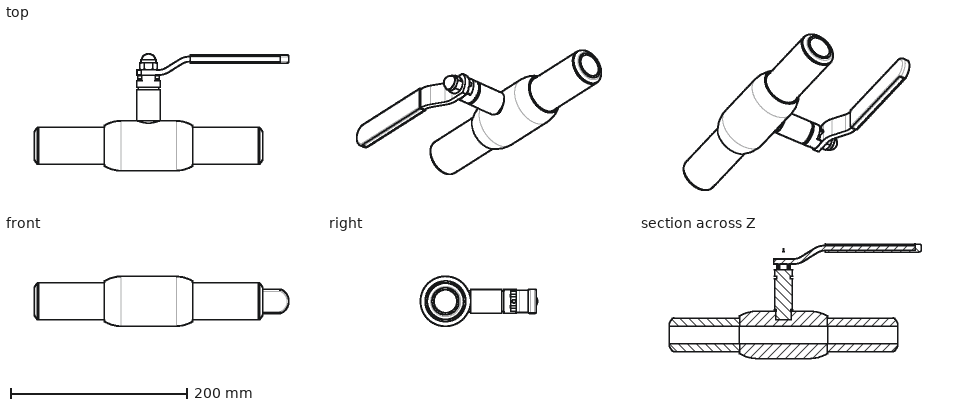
import cadquery as cq
import math


overall_length = 289.3
overall_width = 133.0

bore_radius = 13.0
shell_diameter = 57.0
shell_radius = shell_diameter / 2
shell_end_radius = 23.0
shell_half_length = 50.0
shell_straight_half = 31.2
pipe_radius = 21.0
pipe_end_x = 130.0
bevel_start_radius = 20.5
bevel_start_setback = 3.5
rounding_setback = 5.2
bevel_end_radius = 17.0
bevel_end_setback = 1.0
end_face_radius = 15.3

neck_radius = 13.5
spigot_radius = 12.1
spigot_bottom_y = 17.5
groove_radius = 12.0
groove_bottom_y = 64.0
groove_top_y = 66.2
ledge_y = 74.0
neck_top_y = 80.0
tab_inner_radius = 9.5
tab_half_angle = 35.0

stem_radius = 5.2
stem_top_y = 97.0
pin_radius = 2.0
pin_half_length = 12.5
pin_y = 77.8

lever_thickness = 6.0
lever_half_width = 12.7
lever_end_x = -13.3
lever_shoulder_x = -8.0
lever_rise = 15.3
bend_angle = 32.0
bend_inner_radius = 17.5

grip_start_x = 47.2
grip_end_x = overall_length - pipe_end_x
grip_straight_end_x = 149.5
grip_half_width = 14.0
grip_thickness = 9.5
grip_edge_radius = 2.3

hex_corner_diameter = 20.0
hex_height = 7.8
hex_chamfer_height = 1.0
collar_radius = 8.7
collar_height = 3.5
dome_radius = 8.0
nut_top_y = overall_width - shell_radius


def cylinder_y(radius, bottom, top):
    """Cylinder around the stem axis between two heights."""
    return cq.Workplane("XZ", origin=(0, bottom, 0)).circle(radius).extrude(bottom - top)


def make_shell():
    """Barrel with rounded shoulders, bored through, with a recess for the neck spigot."""
    sagitta = shell_radius - shell_end_radius
    run = shell_half_length - shell_straight_half
    shoulder_radius = (run**2 + sagitta**2) / (2 * sagitta)
    mid_x = shell_straight_half + run / 2
    mid_r = shell_radius - shoulder_radius + math.sqrt(shoulder_radius**2 - (run / 2) ** 2)
    barrel = (
        cq.Workplane("XY")
        .moveTo(-shell_half_length, bore_radius)
        .lineTo(-shell_half_length, shell_end_radius)
        .threePointArc((-mid_x, mid_r), (-shell_straight_half, shell_radius))
        .lineTo(shell_straight_half, shell_radius)
        .threePointArc((mid_x, mid_r), (shell_half_length, shell_end_radius))
        .lineTo(shell_half_length, bore_radius)
        .close()
        .revolve(360, (0, 0, 0), (1, 0, 0))
    )
    return barrel.cut(cylinder_y(spigot_radius, spigot_bottom_y, shell_radius))


def make_pipe(side):
    """Pipe stub butting on a shell end; side is -1 or +1 along X."""
    outline = [
        (shell_half_length, bore_radius),
        (shell_half_length, pipe_radius),
        (pipe_end_x - rounding_setback, pipe_radius),
        (pipe_end_x - bevel_start_setback, bevel_start_radius),
        (pipe_end_x - bevel_end_setback, bevel_end_radius),
        (pipe_end_x, end_face_radius),
        (pipe_end_x, bore_radius),
    ]
    points = [(side * x, r) for x, r in outline]
    return cq.Workplane("XY").polyline(points).close().revolve(360, (0, 0, 0), (1, 0, 0))


def make_neck():
    """Grooved sleeve with a spigot below; two side openings leave two stop tabs on top."""
    outline = [
        (stem_radius, spigot_bottom_y),
        (spigot_radius, spigot_bottom_y),
        (spigot_radius, shell_radius),
        (neck_radius, shell_radius),
        (neck_radius, groove_bottom_y),
        (groove_radius, groove_bottom_y),
        (groove_radius, groove_top_y),
        (neck_radius, groove_top_y),
        (neck_radius, neck_top_y),
        (tab_inner_radius, neck_top_y),
        (tab_inner_radius, ledge_y),
        (stem_radius, ledge_y),
    ]
    neck = cq.Workplane("XY").polyline(outline).close().revolve(360, (0, 0, 0), (0, 1, 0))

    reach = 2 * neck_radius
    half_spread = reach / math.tan(math.radians(tab_half_angle))
    for side in (-1, 1):
        wedge = (
            cq.Workplane("XZ", origin=(0, ledge_y, 0))
            .polyline([(0, 0), (side * reach, -half_spread), (side * reach, half_spread)])
            .close()
            .extrude(ledge_y - neck_top_y)
        )
        neck = neck.cut(wedge)
    return neck


def make_pin():
    """Cross pin through the stem, parallel to X."""
    plane = cq.Workplane("YZ", origin=(-pin_half_length, pin_y, 0))
    return plane.circle(pin_radius).extrude(2 * pin_half_length)


def make_stem(pin):
    """Plain round stem with a cross hole for the pin."""
    return cylinder_y(stem_radius, spigot_bottom_y, stem_top_y).cut(pin)


def make_lever():
    """Flat bar with a double bend, a rounded end and a hole for the stem."""
    angle = math.radians(bend_angle)
    middle_radius = bend_inner_radius + lever_thickness / 2
    bends_rise = 2 * middle_radius * (1 - math.cos(angle))
    slope_length = (lever_rise - bends_rise) / math.sin(angle)
    bends_run = 2 * middle_radius * math.sin(angle) + slope_length * math.cos(angle)
    low_y = neck_top_y + lever_thickness / 2
    bend_start_x = grip_start_x - bends_run

    first_bend = (
        bend_start_x + middle_radius * math.sin(angle),
        low_y + middle_radius * (1 - math.cos(angle)),
    )
    second_bend = (
        first_bend[0] + slope_length * math.cos(angle),
        first_bend[1] + slope_length * math.sin(angle),
    )
    centre_line = (
        cq.Workplane("XY")
        .moveTo(lever_end_x, low_y)
        .lineTo(bend_start_x, low_y)
        .tangentArcPoint(first_bend, relative=False)
        .lineTo(*second_bend)
        .tangentArcPoint((grip_start_x, low_y + lever_rise), relative=False)
        .lineTo(grip_straight_end_x, low_y + lever_rise)
    )
    section = cq.Workplane("YZ", origin=(lever_end_x, low_y, 0))
    bar = section.rect(lever_thickness, 2 * lever_half_width).sweep(centre_line)

    plan = (
        cq.Workplane("XZ")
        .moveTo(grip_straight_end_x, -lever_half_width)
        .lineTo(lever_shoulder_x, -lever_half_width)
        .threePointArc((lever_end_x, 0), (lever_shoulder_x, lever_half_width))
        .lineTo(grip_straight_end_x, lever_half_width)
        .close()
        .extrude(-nut_top_y)
    )
    return bar.intersect(plan).cut(cylinder_y(stem_radius, 0, nut_top_y))


def make_grip(lever):
    """Sleeve with rounded edges and an arched tip, slotted for the lever blade."""
    middle_y = neck_top_y + lever_thickness / 2 + lever_rise
    body = (
        cq.Workplane("XZ", origin=(0, middle_y - grip_thickness / 2, 0))
        .moveTo(grip_start_x, -grip_half_width)
        .lineTo(grip_straight_end_x, -grip_half_width)
        .threePointArc((grip_end_x, 0), (grip_straight_end_x, grip_half_width))
        .lineTo(grip_start_x, grip_half_width)
        .close()
        .extrude(-grip_thickness)
    )
    long_edges = body.faces("<Y or >Y").edges("not <X")
    return long_edges.fillet(grip_edge_radius).cut(lever)


def make_nut():
    """Hexagon cap nut with a collar, a dome and a blind hole for the stem."""
    base_y = neck_top_y + lever_thickness
    hex_top_y = base_y + hex_height
    collar_top_y = hex_top_y + collar_height
    corner_radius = hex_corner_diameter / 2
    hexagon = (
        cq.Workplane("XZ", origin=(0, base_y, 0))
        .polygon(6, hex_corner_diameter)
        .extrude(-hex_height)
    )
    flat_radius = corner_radius * math.cos(math.pi / 6)
    chamfered_round = (
        cq.Workplane("XY")
        .polyline([
            (0, base_y),
            (flat_radius, base_y),
            (corner_radius, base_y + hex_chamfer_height),
            (corner_radius, hex_top_y),
            (0, hex_top_y),
        ])
        .close()
        .revolve(360, (0, 0, 0), (0, 1, 0))
    )
    dome_height = nut_top_y - collar_top_y
    sphere_radius = (dome_radius**2 + dome_height**2) / (2 * dome_height)
    mid_y = collar_top_y + dome_height / 2
    mid_r = math.sqrt(sphere_radius**2 - (mid_y - nut_top_y + sphere_radius) ** 2)
    cap = (
        cq.Workplane("XY")
        .moveTo(0, hex_top_y)
        .lineTo(collar_radius, hex_top_y)
        .lineTo(collar_radius, collar_top_y)
        .lineTo(dome_radius, collar_top_y)
        .threePointArc((mid_r, mid_y), (0, nut_top_y))
        .close()
        .revolve(360, (0, 0, 0), (0, 1, 0))
    )
    nut = hexagon.intersect(chamfered_round).union(cap)
    return nut.cut(cylinder_y(stem_radius, base_y, stem_top_y))


shell = make_shell()
pipes = [make_pipe(side) for side in (-1, 1)]
neck = make_neck()
pin = make_pin()
stem = make_stem(pin)
lever = make_lever()
grip = make_grip(lever)
nut = make_nut()

bodies = [shell, *pipes, neck, stem, pin, lever, grip, nut]
solids = [body.solids().val() for body in bodies]
result = cq.Compound.makeCompound(solids)